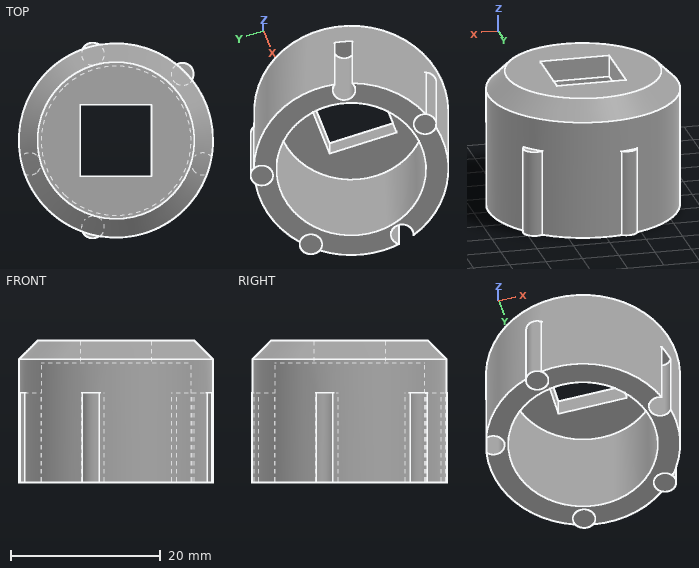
import cadquery as cq
import math

body_diameter = 26.0
body_height = 19.0
bore_diameter = 20.0
roof_thickness = 3.0
rim_chamfer = 2.51
square_side = 9.5

pin_diameter = 3.0
pin_length = 12.0
pin_circle_radius = 12.0
raised_pin_radius = 12.57

filled_seats = [
    (raised_pin_radius, 45),
    (pin_circle_radius, 105),
    (pin_circle_radius, 255),
]
empty_seats = [
    (pin_circle_radius, 195),
    (pin_circle_radius, 345),
]


def make_pin(radius, angle):
    """Upright pin standing on the base plane; also the shape of its groove."""
    x = radius * math.cos(math.radians(angle))
    y = radius * math.sin(math.radians(angle))
    return cq.Workplane("XY").center(x, y).circle(pin_diameter / 2).extrude(pin_length)


def make_housing():
    """Chamfered cup with a square drive hole in its roof and grooves outside."""
    housing = cq.Workplane("XY").circle(body_diameter / 2).extrude(body_height)
    housing = housing.faces(">Z").chamfer(rim_chamfer)

    bore_depth = body_height - roof_thickness
    bore = cq.Workplane("XY").circle(bore_diameter / 2).extrude(bore_depth)
    square_hole = cq.Workplane("XY").rect(square_side, square_side).extrude(body_height)
    housing = housing.cut(bore).cut(square_hole)

    for radius, angle in filled_seats + empty_seats:
        housing = housing.cut(make_pin(radius, angle))
    return housing.solids()


housing = make_housing()
pins = [make_pin(radius, angle) for radius, angle in filled_seats]

result = cq.Compound.makeCompound([housing.val(), *[pin.val() for pin in pins]])